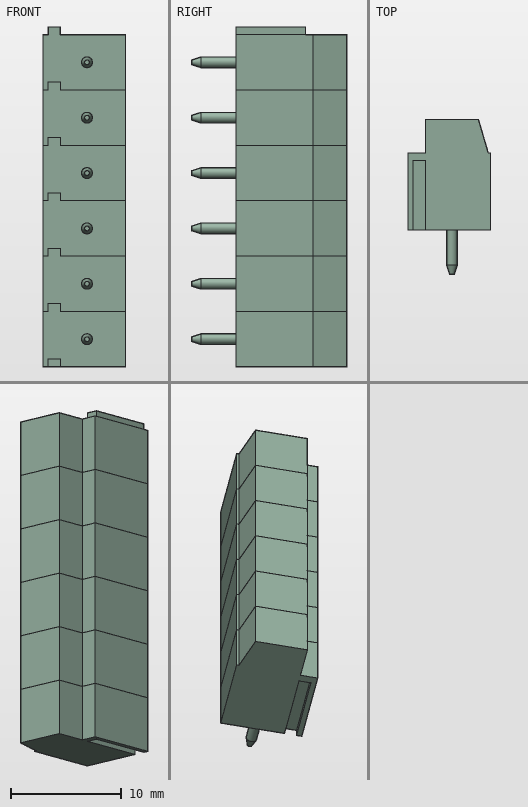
import cadquery as cq

BLOCK_COUNT = 6
STACK_HEIGHT = 30.7
TONGUE_HEIGHT = 0.7
PITCH = (STACK_HEIGHT - TONGUE_HEIGHT) / BLOCK_COUNT

BLOCK_WIDTH = 7.5
BLOCK_DEPTH = 10.0
STEP_WIDTH = 1.6
STEP_DEPTH = 3.05
SHOULDER_Y = BLOCK_DEPTH - STEP_DEPTH
LEDGE_WIDTH = 0.2
SLOPE_TOP_X = 6.4

TONGUE_LEFT = 0.5
TONGUE_WIDTH = STEP_WIDTH - TONGUE_LEFT
TONGUE_LENGTH = 6.3

PIN_X = 4.0
PIN_DIAMETER = 0.98
PIN_LENGTH = 4.0
TIP_LENGTH = 0.83
TIP_DIAMETER = 0.43


def make_tongue(base_z):
    """Straight bar that starts at the front face and runs towards the rear."""
    return cq.Workplane("XY").box(
        TONGUE_WIDTH, TONGUE_LENGTH, TONGUE_HEIGHT, centered=False
    ).translate((TONGUE_LEFT, 0, base_z))


def make_pin():
    """Round pin with a tapered tip, pointing to -Y at half the block height."""
    pin_radius = PIN_DIAMETER / 2
    tip_radius = TIP_DIAMETER / 2
    half_profile = (
        cq.Workplane("XY")
        .moveTo(0, 0)
        .lineTo(pin_radius, 0)
        .lineTo(pin_radius, TIP_LENGTH - PIN_LENGTH)
        .lineTo(tip_radius, -PIN_LENGTH)
        .lineTo(0, -PIN_LENGTH)
        .close()
    )
    pin = half_profile.revolve(360, (0, 0, 0), (0, 1, 0))
    return pin.translate((PIN_X, 0, PITCH / 2))


def make_terminal_block():
    """One block with its pin, tongue and groove, standing on Z = 0."""
    body = (
        cq.Workplane("XY")
        .moveTo(0, 0)
        .lineTo(BLOCK_WIDTH, 0)
        .lineTo(BLOCK_WIDTH, SHOULDER_Y)
        .lineTo(BLOCK_WIDTH - LEDGE_WIDTH, SHOULDER_Y)
        .lineTo(SLOPE_TOP_X, BLOCK_DEPTH)
        .lineTo(STEP_WIDTH, BLOCK_DEPTH)
        .lineTo(STEP_WIDTH, SHOULDER_Y)
        .lineTo(0, SHOULDER_Y)
        .close()
        .extrude(PITCH)
    )
    groove = make_tongue(base_z=0)
    return body.cut(groove).union(make_tongue(base_z=PITCH)).union(make_pin())


terminal_block = make_terminal_block()
terminal_blocks = [
    terminal_block.translate((0, 0, index * PITCH)).solids().val() for index in range(BLOCK_COUNT)
]

result = cq.Compound.makeCompound(terminal_blocks)